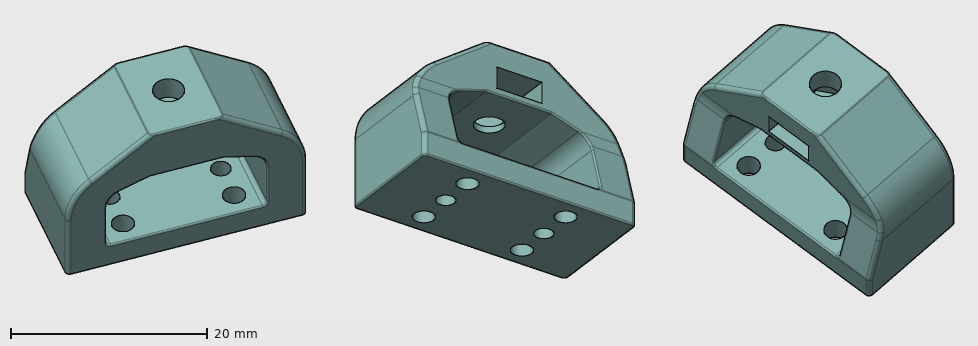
import cadquery as cq
import math

DEPTH = 13.0
WIDTH = 26.0
HEIGHT = 17.3
BACK_X = DEPTH / 2
FRONT_X = -DEPTH / 2

CREST_HALF_WIDTH = 4.03
SHOULDER_RADIUS = 6.0
SHOULDER_SLOPE = math.radians(35)

HEAD_DEPTH = 11.0
HEAD_FRONT_X = BACK_X - HEAD_DEPTH
HEAD_CENTER_X = (HEAD_FRONT_X + BACK_X) / 2
FOOT_HEIGHT = 2.8
HEAD_START_Z = 9.62
LEAN_CONCAVE_RADIUS = 5.0
LEAN_CONVEX_RADIUS = 0.5

FLOOR_Z = 2.85
OPENING_HALF_WIDTH = 8.7
OPENING_TOP_Z = 11.35
CEILING_SLOPE = math.radians(17.5)
CEILING_FLAT_HALF_WIDTH = 4.0
OPENING_SHOULDER_RADIUS = 2.0
OPENING_FLOOR_RADIUS = 0.5

END_FILLET = 0.5
RIM_FILLET = 0.18

MARGIN = 0.03

SCREW_DIAMETER = 3.25
NUT_ACROSS_FLATS = 5.5
NUT_SLOT_BOTTOM_Z = 12.12
NUT_SLOT_HEIGHT = 2.5

MOUNT_ROW_Y = 6.0
MOUNT_PITCH_X = 4.0
MOUNT_DIAMETER = 2.37
MOUNT_MIDDLE_DIAMETER = 2.08


def round_x_edges(solid, half_width, z, radius):
    """Fillet the mirrored pair of edges that run along X at Y = +/-half_width."""
    for side in (-1, 1):
        edge = cq.NearestToPointSelector((0, side * half_width, z))
        solid = solid.edges(edge).fillet(radius)
    return solid


def arch_prism(half_width, bottom_z, top_z, flat_half_width, slope, shoulder_radius):
    """Full-depth prism with upright sides, rounded shoulders, sloped flanks and a flat top."""
    corner_z = top_z - (half_width - flat_half_width) * math.tan(slope)
    prism = (
        cq.Workplane("YZ", origin=(FRONT_X, 0, 0))
        .polyline([
            (-half_width, bottom_z),
            (half_width, bottom_z),
            (half_width, corner_z),
            (flat_half_width, top_z),
            (-flat_half_width, top_z),
            (-half_width, corner_z),
        ])
        .close()
        .extrude(DEPTH)
    )
    return round_x_edges(prism, half_width, corner_z, shoulder_radius)


def side_profile():
    """Full-width block with the leaning front face."""
    profile = (
        cq.Workplane("XZ", origin=(0, WIDTH / 2, 0))
        .polyline([
            (FRONT_X, 0),
            (BACK_X, 0),
            (BACK_X, HEIGHT),
            (HEAD_FRONT_X, HEIGHT),
            (HEAD_FRONT_X, HEAD_START_Z),
            (FRONT_X, FOOT_HEIGHT),
        ])
        .close()
        .extrude(WIDTH)
    )
    lean_top = cq.NearestToPointSelector((HEAD_FRONT_X, 0, HEAD_START_Z))
    lean_bottom = cq.NearestToPointSelector((FRONT_X, 0, FOOT_HEIGHT))
    profile = profile.edges(lean_top).fillet(LEAN_CONCAVE_RADIUS)
    return profile.edges(lean_bottom).fillet(LEAN_CONVEX_RADIUS)


def arch_body():
    outline = arch_prism(WIDTH / 2, 0, HEIGHT, CREST_HALF_WIDTH, SHOULDER_SLOPE, SHOULDER_RADIUS)
    return outline.intersect(side_profile())


def opening():
    void = arch_prism(
        OPENING_HALF_WIDTH,
        FLOOR_Z,
        OPENING_TOP_Z,
        CEILING_FLAT_HALF_WIDTH,
        CEILING_SLOPE,
        OPENING_SHOULDER_RADIUS,
    )
    return round_x_edges(void, OPENING_HALF_WIDTH, FLOOR_Z, OPENING_FLOOR_RADIUS)


def screw_and_nut():
    """Vertical screw hole and a nut slot that opens on the front, with a pointed end inside."""
    screw = (
        cq.Workplane("XY", origin=(HEAD_CENTER_X, 0, FLOOR_Z))
        .circle(SCREW_DIAMETER / 2)
        .extrude(HEIGHT - FLOOR_Z)
    )
    half_flats = NUT_ACROSS_FLATS / 2
    nut_side = NUT_ACROSS_FLATS / math.sqrt(3)
    flat_end_x = HEAD_CENTER_X + nut_side / 2
    point_x = HEAD_CENTER_X + nut_side
    slot = (
        cq.Workplane("XY", origin=(0, 0, NUT_SLOT_BOTTOM_Z))
        .polyline([
            (FRONT_X, -half_flats),
            (flat_end_x, -half_flats),
            (point_x, 0),
            (flat_end_x, half_flats),
            (FRONT_X, half_flats),
        ])
        .close()
        .extrude(NUT_SLOT_HEIGHT)
    )
    return screw.union(slot)


def mounting_holes():
    holes = cq.Workplane("XY")
    for step in (-1, 0, 1):
        diameter = MOUNT_MIDDLE_DIAMETER if step == 0 else MOUNT_DIAMETER
        for side in (-1, 1):
            holes = holes.union(
                cq.Workplane("XY")
                .center(step * MOUNT_PITCH_X, side * MOUNT_ROW_Y)
                .circle(diameter / 2)
                .extrude(FLOOR_Z)
            )
    return holes


body = arch_body()
between_base_and_crest = cq.selectors.BoxSelector(
    (-DEPTH, -WIDTH, MARGIN),
    (DEPTH, WIDTH, HEIGHT - MARGIN),
)
body = body.edges("not(|X or |Y)").edges(between_base_and_crest).fillet(END_FILLET)
body = body.faces(">Z or <Z").edges().fillet(RIM_FILLET)

body = body.cut(opening())
around_opening = cq.selectors.BoxSelector(
    (-DEPTH, -OPENING_HALF_WIDTH - MARGIN, FLOOR_Z - MARGIN),
    (DEPTH, OPENING_HALF_WIDTH + MARGIN, OPENING_TOP_Z + MARGIN),
    boundingbox=True,
)
body = body.edges(around_opening).edges("not |X").fillet(RIM_FILLET)

result = body.cut(screw_and_nut()).cut(mounting_holes())